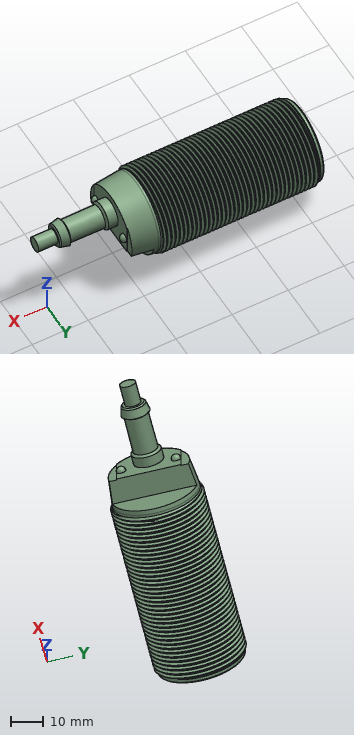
import cadquery as cq
import math

TOTAL_LENGTH = 95.6
MAJOR_RADIUS = 14.9
THREAD_DEPTH = 0.9
THREAD_FLANK_ANGLE = 30.0
CREST_WIDTH = 0.2
THREAD_START = 1.4
THREAD_END = 58.4
THREAD_TURNS = 38
THREAD_PITCH = (THREAD_END - THREAD_START) / THREAD_TURNS
FIRST_CREST = 1.7
ENVELOPE_RISE = 1.1
THREAD_BURIAL = 0.1
BARREL_RADIUS = MAJOR_RADIUS - THREAD_DEPTH
BARREL_LENGTH = 60.7
FRONT_CHAMFER = 0.5

TAPER_START = 59.3
HEAD_END = 68.5
HEAD_END_RADIUS = 13.0
REAR_STEP = 0.3
REAR_PLATE_WIDTH = 20.6
FLAT_HEIGHT_AT_BARREL = -3.4
FLAT_HEIGHT_AT_END = -3.1

GLAND_HEIGHT = 5.5
COLLAR_RADIUS = 4.9
COLLAR_EMBED = 1.0
COLLAR_END = 71.9
COLLAR_TAPER_END = 72.6
SLEEVE_START_RADIUS = 4.0
SLEEVE_END_RADIUS = 3.9
BEAD_START = 84.9
BEAD_CREST = 85.4
BEAD_RADIUS = 4.7
BEAD_END_RADIUS = 4.0
BEAD_END = 88.7
BEAD_CHAMFER = 0.5
CABLE_RADIUS = 2.6

DOME_RADIUS = 1.5
DOME_SPACING = 17.6
DOME_HEIGHT = 2.1


def revolve_about_x(points):
    """Solid of revolution about X from (x, radius) points."""
    return cq.Workplane("XZ").polyline(points).close().revolve(360, (0, 0, 0), (1, 0, 0))


def make_barrel():
    return revolve_about_x([
        (0, 0),
        (0, BARREL_RADIUS - FRONT_CHAMFER),
        (FRONT_CHAMFER, BARREL_RADIUS),
        (TAPER_START, BARREL_RADIUS),
        (HEAD_END, HEAD_END_RADIUS),
        (HEAD_END, 0),
    ])


def make_head_relief():
    """Material removed below the head, behind the barrel."""
    return (
        cq.Workplane("XZ")
        .moveTo(BARREL_LENGTH, FLAT_HEIGHT_AT_BARREL)
        .lineTo(HEAD_END, FLAT_HEIGHT_AT_END)
        .lineTo(HEAD_END, -MAJOR_RADIUS)
        .lineTo(BARREL_LENGTH, -MAJOR_RADIUS)
        .close()
        .extrude(MAJOR_RADIUS, both=True)
    )


def make_rear_setbacks():
    """Shallow steps at both sides of the rear face."""
    offset = (REAR_PLATE_WIDTH + MAJOR_RADIUS) / 2
    return (
        cq.Workplane("YZ", origin=(HEAD_END - REAR_STEP, 0, 0))
        .pushPoints([(-offset, 0), (offset, 0)])
        .rect(MAJOR_RADIUS, 2 * MAJOR_RADIUS)
        .extrude(REAR_STEP)
    )


def make_thread():
    """Right-hand ridge wound about X, its ends trimmed by 45 degree cones."""
    flank_slope = math.tan(math.radians(THREAD_FLANK_ANGLE))
    foot_radius = BARREL_RADIUS - THREAD_BURIAL
    half_crest = CREST_WIDTH / 2
    half_foot = half_crest + (MAJOR_RADIUS - foot_radius) * flank_slope

    start = FIRST_CREST - THREAD_PITCH
    height = THREAD_END - start + THREAD_PITCH
    helix = cq.Wire.makeHelix(THREAD_PITCH, height, BARREL_RADIUS)
    ridge = (
        cq.Workplane("XZ")
        .polyline([
            (foot_radius, -half_foot),
            (MAJOR_RADIUS, -half_crest),
            (MAJOR_RADIUS, half_crest),
            (foot_radius, half_foot),
        ])
        .close()
        .sweep(cq.Workplane(helix), isFrenet=True)
        .rotate((0, 0, 0), (0, 0, 1), 180)
        .rotate((0, 0, 0), (0, 1, 0), 90)
        .translate((start, 0, 0))
    )
    envelope = revolve_about_x([
        (THREAD_START, 0),
        (THREAD_START, BARREL_RADIUS),
        (THREAD_START + ENVELOPE_RISE, BARREL_RADIUS + ENVELOPE_RISE),
        (THREAD_END - ENVELOPE_RISE, BARREL_RADIUS + ENVELOPE_RISE),
        (THREAD_END, BARREL_RADIUS),
        (THREAD_END, 0),
    ])
    return ridge.intersect(envelope)


def make_gland():
    gland = revolve_about_x([
        (HEAD_END - COLLAR_EMBED, 0),
        (HEAD_END - COLLAR_EMBED, COLLAR_RADIUS),
        (COLLAR_END, COLLAR_RADIUS),
        (COLLAR_TAPER_END, SLEEVE_START_RADIUS),
        (BEAD_START, SLEEVE_END_RADIUS),
        (BEAD_CREST, BEAD_RADIUS),
        (BEAD_END - BEAD_CHAMFER, BEAD_END_RADIUS),
        (BEAD_END, BEAD_END_RADIUS - BEAD_CHAMFER),
        (BEAD_END, CABLE_RADIUS),
        (TOTAL_LENGTH, CABLE_RADIUS),
        (TOTAL_LENGTH, 0),
    ])
    return gland.translate((0, 0, GLAND_HEIGHT))


def make_domes():
    return (
        cq.Workplane("YZ", origin=(HEAD_END, 0, DOME_HEIGHT))
        .pushPoints([(-DOME_SPACING / 2, 0), (DOME_SPACING / 2, 0)])
        .sphere(DOME_RADIUS)
    )


body = make_barrel().cut(make_head_relief()).cut(make_rear_setbacks())
body = body.union(make_gland()).union(make_domes())
result = body.union(make_thread())